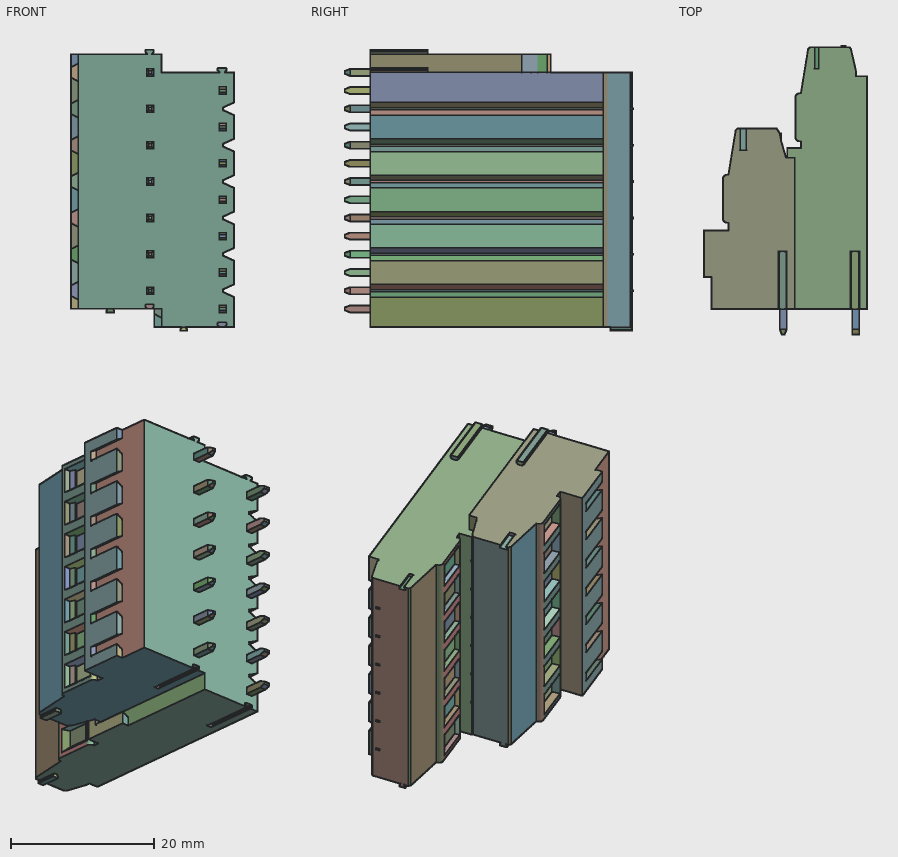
import cadquery as cq


pitch = 5.08
poles = 7
row_length = pitch * poles
front_base_z = pitch / 2
rear_base_z = 0
row_shift_x = 10.1
row_shift_y = 11.35

body_left = 1.05
body_right = 12.7
waist_x = 3.43
nose_x = 2.65
nose_bottom = 12.05
nose_top = 18.78
nose_radius = 0.6
shoulder_y = 21.15
head_top = 25.23
head_left = 4.45
head_edge = 0.3

slot_end = 9.75
slot_mouth = 1.4
slot_root = 2.5
rear_plate_left = 11.65

pocket_bottom = nose_bottom + nose_radius
pocket_top = 17.8
pocket_width = 3.63
pocket_floor_width = 2.55
pocket_floor_bottom = 13.38

pin_x = 11.1
pin_size = 1.0
pin_length = 3.55
tip_length = 0.75
tip_size = 0.4

rail_length = 8.05
rail_height = 0.65
rail_bevel = 0.12
rail_flank_z = 0.32

rib_length = 3.05
rib_height = 0.52
rib_flank = 0.3

notch_depth = 1.57
notch_half_width = 0.9
notch_tip_half_width = 0.15

bump_thickness = 0.15
bump_height = 0.15
bump_sink = 0.12


def pole_centers(base_z):
    return [base_z + pitch * (i + 0.5) for i in range(poles)]


def prism_z(sketch, z_start, z_end):
    """Move a closed XY outline to z_start and extrude it to z_end."""
    return sketch.extrude(z_end - z_start).translate((0, 0, z_start))


def prism_y(points, y_start, y_end):
    """Extrude a closed outline of (x, z) points from y_start to y_end."""
    outline = cq.Workplane("XZ", origin=(0, y_end, 0)).polyline(points).close()
    return outline.extrude(y_end - y_start)


def row_body(low_left, plate_left, plate_low, plate_top, right_flank, base_z, shift_x, shift_y):
    """Housing of one row, with right_flank listing (x, y) points of the head's right side."""
    waist = waist_x + shift_x
    nose = nose_x + shift_x
    nose_low = nose_bottom + shift_y
    nose_high = nose_top + shift_y
    head_low_x = head_left + shift_x
    top = head_top + shift_y
    outline = (
        cq.Workplane("XY")
        .moveTo(low_left, 0)
        .lineTo(low_left, plate_low)
        .lineTo(plate_left, plate_low)
        .lineTo(plate_left, plate_top)
        .lineTo(waist, plate_top)
        .lineTo(waist, nose_low)
        .lineTo(nose + nose_radius, nose_low)
        .radiusArc((nose, nose_low + nose_radius), nose_radius)
        .lineTo(nose, nose_high - nose_radius)
        .radiusArc((nose + nose_radius, nose_high), nose_radius)
        .lineTo(waist, nose_high)
        .lineTo(head_low_x, top - head_edge)
        .lineTo(head_low_x + head_edge, top)
    )
    for x, y in right_flank:
        outline = outline.lineTo(x + shift_x, y + shift_y)
    right = body_right + shift_x
    outline = outline.lineTo(right, shoulder_y + shift_y).lineTo(right, 0).close()
    return prism_z(outline, base_z, base_z + row_length)


def tooth_slots(plate_left, plate_inner, plate_low, base_z, shift_y):
    """Slots that widen inwards, one at the middle of each pole."""
    slots = cq.Workplane("XY")
    for z in pole_centers(base_z):
        section = [
            (plate_left, z - slot_mouth / 2),
            (plate_left, z + slot_mouth / 2),
            (plate_inner, z + slot_root / 2),
            (plate_inner, z - slot_root / 2),
        ]
        slots = slots.add(prism_y(section, plate_low, slot_end + shift_y))
    return slots.combine()


def wire_pockets(depth, upper_wall, base_z, shift_x, shift_y):
    """Funnel-shaped wire entries; upper_wall lists (depth, y) points of the +Y wall."""
    wall = [(0, pocket_top)] + upper_wall
    wall += [(depth, pocket_floor_bottom), (0, pocket_bottom)]
    nose = nose_x + shift_x
    side_outline = [(nose + d, y + shift_y) for d, y in wall]
    pockets = cq.Workplane("XY")
    for z in pole_centers(base_z):
        side = prism_z(
            cq.Workplane("XY").polyline(side_outline).close(),
            z - pocket_width / 2,
            z + pocket_width / 2,
        )
        funnel = prism_y(
            [
                (nose, z - pocket_width / 2),
                (nose, z + pocket_width / 2),
                (nose + depth, z + pocket_floor_width / 2),
                (nose + depth, z - pocket_floor_width / 2),
            ],
            pocket_bottom + shift_y,
            pocket_top + shift_y,
        )
        pockets = pockets.add(side.intersect(funnel))
    return pockets.combine()


def rail(x, top_width, neck_width, base_z):
    """Bevelled dovetail bar standing on base_z, running up from the solder side."""
    right_side = [
        (neck_width / 2, 0),
        (top_width / 2, rail_flank_z),
        (top_width / 2, rail_height - rail_bevel),
        (top_width / 2 - rail_bevel, rail_height),
    ]
    left_side = [(-dx, dz) for dx, dz in reversed(right_side)]
    points = [(x + dx, base_z + dz) for dx, dz in right_side + left_side]
    return prism_y(points, 0, rail_length)


def rib(x, neck_width, foot_width, base_z, top_y):
    """Small dovetail hanging below base_z, ending at the top of the head."""
    points = [
        (x - neck_width / 2, base_z),
        (x + neck_width / 2, base_z),
        (x + foot_width / 2, base_z - rib_flank),
        (x + foot_width / 2, base_z - rib_height),
        (x - foot_width / 2, base_z - rib_height),
        (x - foot_width / 2, base_z - rib_flank),
    ]
    return prism_y(points, top_y - rib_length, top_y)


def pins(tip_width, base_z, shift_x):
    """Square pins whose ends taper to tip_width in X and tip_size in Z."""
    row = cq.Workplane("XY")
    for z in pole_centers(base_z):
        center = (pin_x + shift_x, 0, z)
        shaft_length = pin_length - tip_length
        shaft = cq.Workplane("XZ", origin=center).rect(pin_size, pin_size).extrude(shaft_length)
        tip = (
            shaft.faces("<Y")
            .workplane()
            .rect(pin_size, pin_size)
            .workplane(offset=tip_length)
            .rect(tip_width, tip_size)
            .loft(combine=False)
        )
        row = row.add(shaft.union(tip))
    return row.combine()


def pole_boundaries(base_z):
    return [base_z + pitch * i for i in range(1, poles)]


def side_notches():
    """V notches over the full height of the rear side."""
    side = body_right + row_shift_x
    notches = cq.Workplane("XY")
    for z in pole_boundaries(rear_base_z):
        section = [
            (side, z - notch_half_width),
            (side - notch_depth, z - notch_tip_half_width),
            (side - notch_depth, z + notch_tip_half_width),
            (side, z + notch_half_width),
        ]
        notches = notches.add(prism_y(section, 0, shoulder_y + row_shift_y))
    return notches.combine()


def marker_bumps(x_range, y_range, base_z):
    """Thin bars partly sunk into the head, one at each boundary between poles."""
    left, right = x_range
    low, high = y_range
    bumps = cq.Workplane("XY")
    for z in pole_boundaries(base_z):
        bar = cq.Workplane("XY").box(right - left, high - low, bump_thickness)
        bumps = bumps.add(bar.translate(((left + right) / 2, (low + high) / 2, z)))
    return bumps.combine()


def end_dovetails(body, rail_size, rib_size, base_z, top_y):
    """Add the rail and the rib of one row and cut their matching grooves."""
    end_z = base_z + row_length
    body = body.cut(rail(*rail_size, base_z))
    body = body.cut(rib(*rib_size, end_z, top_y))
    body = body.union(rail(*rail_size, end_z))
    return body.union(rib(*rib_size, base_z, top_y))


front_plate_bottom = 4.47
front_plate_top = 11.0
front_flank = [(10.15, head_top), (10.5, 24.7), (10.85, 23.37), (11.5, shoulder_y)]
front_pocket_depth = 0.93
front_upper_wall = [(0.52, 17.35), (0.7, 16.45), (front_pocket_depth, 16.45)]
front_rail = (11.0, 1.2, 0.65)
front_rib = (5.52, 0.85, 1.13)
front_bump_x = (10.45, 10.85)
front_bump_y = (23.6, 24.55)

front = row_body(
    body_left, 0, front_plate_bottom, front_plate_top, front_flank, front_base_z, 0, 0
)
front = front.cut(tooth_slots(0, body_left, front_plate_bottom, front_base_z, 0))
front = front.cut(wire_pockets(front_pocket_depth, front_upper_wall, front_base_z, 0, 0))
front = end_dovetails(front, front_rail, front_rib, front_base_z, head_top)
front = front.union(marker_bumps(front_bump_x, front_bump_y, front_base_z))

rear_plate_bottom = 15.6
rear_plate_top = 22.53
rear_head_top = head_top + row_shift_y
rear_flank = [(10.2, head_top), (10.45, 24.95), (11.15, 21.75), (11.15, shoulder_y)]
rear_pocket_depth = 0.5
rear_upper_wall = [(rear_pocket_depth, 16.6)]
rear_rail = (21.1, 1.3, 0.73)
rear_rib = (15.75, 0.52, 0.93)
rear_bump_x = (19.2, 19.8)
rear_bump_y = (rear_head_top - bump_sink, rear_head_top + bump_height)

rear = row_body(
    body_right,
    rear_plate_left,
    rear_plate_bottom,
    rear_plate_top,
    rear_flank,
    rear_base_z,
    row_shift_x,
    row_shift_y,
)
rear = rear.cut(
    tooth_slots(rear_plate_left, body_right, rear_plate_bottom, rear_base_z, row_shift_y)
)
rear = rear.cut(
    wire_pockets(rear_pocket_depth, rear_upper_wall, rear_base_z, row_shift_x, row_shift_y)
)
rear = rear.cut(side_notches())
rear = end_dovetails(rear, rear_rail, rear_rib, rear_base_z, rear_head_top)
rear = rear.union(marker_bumps(rear_bump_x, rear_bump_y, rear_base_z))

result = front.union(rear)
result = result.union(pins(tip_size, front_base_z, 0))
result = result.union(pins(pin_size, rear_base_z, row_shift_x))